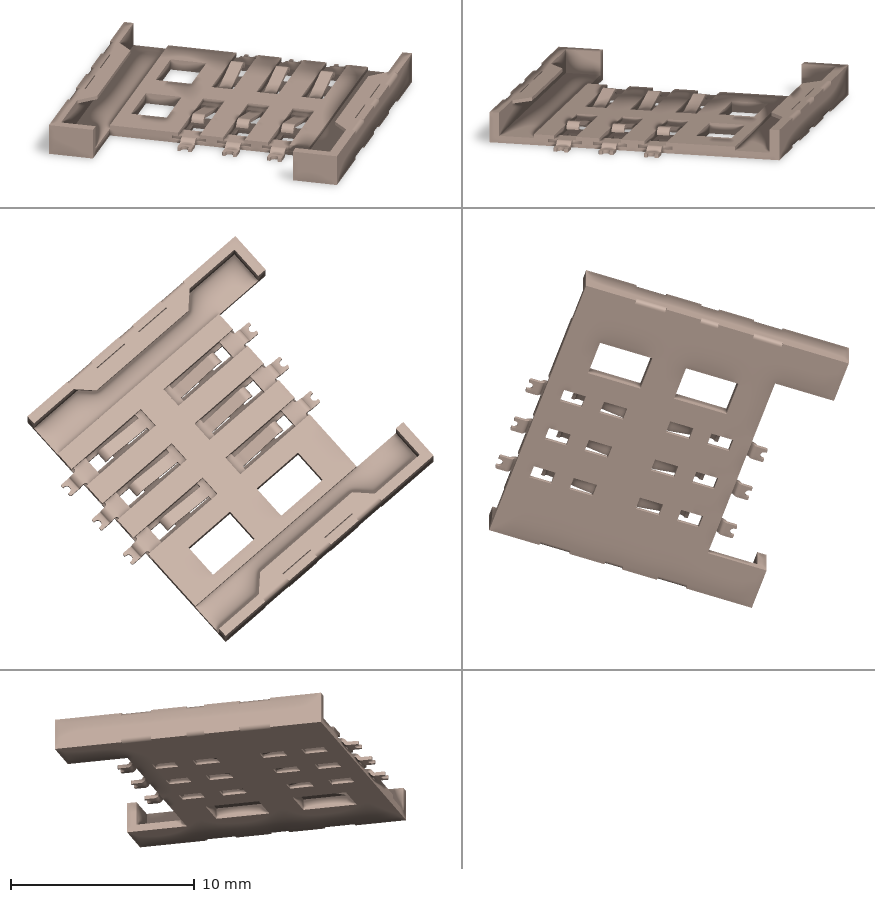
import cadquery as cq
import math

width = 16.3
height = 1.7
plate_half_length = 5.87
plate_height = 0.6
arm_end_y = -9.26
arm_width = 2.5
arm_floor = 0.39
wall = 0.54

opening_x = -3.98
opening_y = 2.48
opening_width = 2.02
opening_length = 3.02

sheet = 0.2
contact_pitch = 2.55
contact_middle_x = 1.37
contact_columns = 3
frame_bottom = 0.2
frame_top = frame_bottom + sheet
frame_width = 1.92
frame_inner_y = 0.83
frame_outer_y = plate_half_length - 0.15
window_inner_y = 1.24
window_outer_y = 4.87
slot_width = 1.22
floor_hole_width = 0.73
bridge_inner_y = 2.58
bridge_outer_y = 3.62

spring_width = 0.68
spring_bend_y = 1.47
spring_knee_y = 3.73
spring_tip_y = 4.22
spring_slope = 12.9
spring_curl_end = 86.0

tail_width = 0.82
tail_root_fillet = 0.13
tail_foot_y = 6.26
tail_foot_bend = 0.07
tail_end_y = 6.85
tail_drop = 0.25
tail_corner = 0.08
notch_radius = 0.21
notch_inset = 0.08

clip_length = 8.45
clip_y = -1.24
clip_flange = 1.42
clip_bend = 0.23
tooth_length = 2.02
tooth_pitch = 3.03
tooth_middle_y = -1.27
tooth_gap = 0.07

half_width = width / 2
contact_xs = [contact_middle_x + (i - 1) * contact_pitch for i in range(contact_columns)]
tooth_ys = [tooth_middle_y - tooth_pitch / 2, tooth_middle_y + tooth_pitch / 2]
tooth_spans = [(y - tooth_length / 2, y + tooth_length / 2) for y in tooth_ys]


def block(x, y, z):
    """A box spanning the three (low, high) pairs."""
    size = (x[1] - x[0], y[1] - y[0], z[1] - z[0])
    return cq.Workplane("XY").box(*size, centered=False).translate((x[0], y[0], z[0]))


def centred_block(full_width, y, z):
    return block((-full_width / 2, full_width / 2), y, z)


def mirrored_in_x(body):
    return body.mirror("YZ")


def all_contact_places(body):
    """Copies of a rear-row body at every column, each with its facing twin in the front row."""
    rear = [body.translate((x, 0, 0)) for x in contact_xs]
    front = [copy.mirror("XZ") for copy in rear]
    return rear + front


def folded_sheet(rounded_outside):
    """Clip sheet with its outer face at X = 0, folded over the top and under the bottom of the wall."""
    rear_y = clip_y + clip_length / 2
    front_y = clip_y - clip_length / 2
    span = (front_y, rear_y)
    taper = clip_flange - wall

    outside = block((0, clip_flange), span, (0, height))
    if rounded_outside:
        outside = outside.edges("|Y and <X").fillet(clip_bend)
    inside = block((sheet, clip_flange), span, (sheet, height - sheet))
    inside = inside.edges("|Y and <X").fillet(clip_bend - sheet)
    bottom_opening = block((wall, clip_flange), span, (0, sheet))

    flange_outline = [
        (0, front_y),
        (wall, front_y),
        (clip_flange, front_y + taper),
        (clip_flange, rear_y - taper),
        (wall, rear_y),
        (0, rear_y),
    ]
    outline = cq.Workplane("XY").polyline(flange_outline).close().extrude(height)
    folded = outside.cut(inside).cut(bottom_opening).intersect(outline)
    for tooth_span in tooth_spans:
        folded = folded.cut(block((0, wall), tooth_span, (0, height)))
    return folded


def at_left_side(body):
    return body.translate((-half_width, 0, 0))


def make_left_clip():
    return at_left_side(folded_sheet(rounded_outside=True))


def arc_point(centre, radius, degrees):
    """Point on a circle in the YZ plane, at an angle from straight up towards +Y."""
    angle = math.radians(degrees)
    return (centre[0] + radius * math.sin(angle), centre[1] + radius * math.cos(angle))


def make_spring():
    """Tongue that bends up from the frame, rises straight and curls down at its tip."""
    slope = math.radians(spring_slope)
    curl_end = math.radians(spring_curl_end)

    root_inner = (spring_bend_y - window_inner_y) / math.sin(slope)
    root_outer = root_inner + sheet
    root = (window_inner_y, frame_top + root_inner)
    root_start = 180.0
    root_end = root_start - spring_slope
    root_middle = (root_start + root_end) / 2
    rise_start = arc_point(root, root_inner, root_end)

    curl_outer = (spring_tip_y - spring_knee_y) / (math.sin(slope) + math.sin(curl_end))
    curl_inner = curl_outer - sheet
    knee_z = rise_start[1] + (spring_knee_y - rise_start[0]) * math.tan(slope)
    curl = (spring_knee_y + curl_outer * math.sin(slope), knee_z - curl_outer * math.cos(slope))
    curl_middle = (spring_curl_end - spring_slope) / 2

    return (
        cq.Workplane("YZ")
        .moveTo(window_inner_y, frame_bottom)
        .lineTo(window_inner_y, frame_top)
        .threePointArc(arc_point(root, root_inner, root_middle), rise_start)
        .lineTo(spring_knee_y, knee_z)
        .threePointArc(
            arc_point(curl, curl_outer, curl_middle), arc_point(curl, curl_outer, spring_curl_end)
        )
        .lineTo(*arc_point(curl, curl_inner, spring_curl_end))
        .threePointArc(
            arc_point(curl, curl_inner, curl_middle), arc_point(curl, curl_inner, -spring_slope)
        )
        .lineTo(*arc_point(root, root_outer, root_end))
        .threePointArc(arc_point(root, root_outer, root_middle), (window_inner_y, frame_bottom))
        .close()
        .extrude(spring_width / 2, both=True)
    )


def make_tail():
    """Strip that drops in an S-bend outside the plate to a flat, notched foot."""
    bend_length = tail_foot_y - plate_half_length
    foot_top = frame_top - tail_drop
    foot_bottom = foot_top - sheet

    half_turn = math.atan(tail_drop / bend_length)
    turn = math.degrees(2 * half_turn)
    radius_sum = bend_length / math.sin(2 * half_turn)
    lower_inner = tail_foot_bend
    lower_outer = lower_inner + sheet
    upper_outer = radius_sum - lower_inner
    upper_inner = upper_outer - sheet
    upper = (plate_half_length, frame_top - upper_outer)
    lower = (tail_foot_y, foot_top + lower_inner)
    lower_start = 180 + turn
    lower_middle = 180 + turn / 2

    strip = (
        cq.Workplane("YZ")
        .moveTo(frame_outer_y, frame_bottom)
        .lineTo(frame_outer_y, frame_top)
        .lineTo(plate_half_length, frame_top)
        .threePointArc(arc_point(upper, upper_outer, turn / 2), arc_point(upper, upper_outer, turn))
        .threePointArc(arc_point(lower, lower_inner, lower_middle), (tail_foot_y, foot_top))
        .lineTo(tail_end_y, foot_top)
        .lineTo(tail_end_y, foot_bottom)
        .lineTo(tail_foot_y, foot_bottom)
        .threePointArc(
            arc_point(lower, lower_outer, lower_middle), arc_point(lower, lower_outer, lower_start)
        )
        .threePointArc(arc_point(upper, upper_inner, turn / 2), (plate_half_length, frame_bottom))
        .close()
        .extrude(tail_width / 2, both=True)
    )
    strip = strip.edges("|Z and >Y").fillet(tail_corner)
    notch_y = tail_end_y - notch_inset
    notch = cq.Workplane("XY").center(0, notch_y).circle(notch_radius).extrude(height, both=True)
    notch = notch.union(centred_block(2 * notch_radius, (notch_y, tail_end_y), (-height, height)))
    return strip.cut(notch)


def make_contact():
    frame_z = (frame_bottom, frame_top)
    frame = centred_block(frame_width, (frame_inner_y, frame_outer_y), frame_z)
    frame = frame.cut(centred_block(slot_width, (window_inner_y, window_outer_y), frame_z))
    contact = frame.union(make_spring()).union(make_tail())
    root_corners = cq.selectors.BoxSelector(
        (-tail_width, frame_outer_y - sheet / 2, 0), (tail_width, frame_outer_y + sheet / 2, height)
    )
    return contact.edges("|Z").edges(root_corners).fillet(tail_root_fillet)


def make_left_arm():
    arm_x = (-half_width, -half_width + arm_width)
    arm_y = (arm_end_y, plate_half_length)
    arm = block(arm_x, arm_y, (0, height))
    channel = block(
        (-half_width + wall, arm_x[1]), (arm_end_y + wall, plate_half_length), (arm_floor, height)
    )
    return arm.cut(channel)


def make_contact_seat():
    """Space for one rear-row contact: pocket for the frame, slot above and two holes below."""
    pocket = centred_block(frame_width, (frame_inner_y, plate_half_length), (frame_bottom, frame_top))
    slot = centred_block(slot_width, (frame_inner_y, plate_half_length), (frame_bottom, plate_height))
    seat = pocket.union(slot)
    for hole_span in [(window_inner_y, bridge_inner_y), (bridge_outer_y, window_outer_y)]:
        seat = seat.union(centred_block(floor_hole_width, hole_span, (0, frame_bottom)))
    return seat


def make_left_clip_seat():
    """Space for the left clip, square outside its bends, with the gaps beside the tooth tops."""
    seat = folded_sheet(rounded_outside=False)
    gap_x = (wall - tooth_gap, wall)
    for tooth_span in tooth_spans:
        seat = seat.union(block(gap_x, tooth_span, (height - sheet, height)))
    return at_left_side(seat)


def make_housing():
    plate_width = width - 2 * arm_width
    left_arm = make_left_arm()
    plate = centred_block(plate_width, (-plate_half_length, plate_half_length), (0, plate_height))
    housing = plate.union(left_arm).union(mirrored_in_x(left_arm))

    openings = (
        cq.Workplane("XY")
        .pushPoints([(opening_x, -opening_y), (opening_x, opening_y)])
        .rect(opening_width, opening_length)
        .extrude(plate_height)
    )
    housing = housing.cut(openings)
    for seat in all_contact_places(make_contact_seat()):
        housing = housing.cut(seat)

    clip_seat = make_left_clip_seat()
    return housing.cut(clip_seat).cut(mirrored_in_x(clip_seat))


left_clip = make_left_clip()
clips = [left_clip, mirrored_in_x(left_clip)]
contacts = all_contact_places(make_contact())
housing = make_housing()

result = cq.Compound.makeCompound(
    [housing.val(), *[clip.val() for clip in clips], *[contact.val() for contact in contacts]]
)